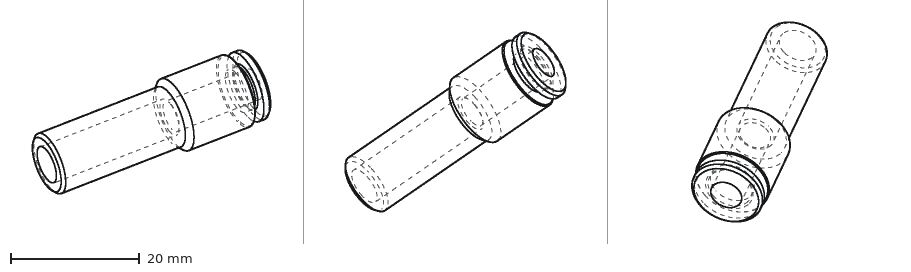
import cadquery as cq

total_length = 37.1
half_length = total_length / 2

body_diameter = 12.0
body_radius = body_diameter / 2
stem_radius = 5.0
collar_radius = 5.75
neck_radius = 3.55
stem_bore_radius = 3.0
collar_bore_radius = 2.52

stem_length = 21.95
body_length = 12.05
collar_thickness = 1.5
stem_bore_depth = stem_length

stem_chamfer = 0.52
shoulder_chamfer = body_radius - stem_radius
body_chamfer = 0.2
collar_chamfer = 0.5
neck_flare = 0.3
bore_taper_length = 0.3

stem_end = -half_length
body_start = stem_end + stem_length
body_end = body_start + body_length
collar_end = half_length
collar_start = collar_end - collar_thickness
taper_start = stem_end + stem_bore_depth

half_section = [
    (stem_bore_radius, stem_end),
    (stem_radius - stem_chamfer, stem_end),
    (stem_radius, stem_end + stem_chamfer),
    (stem_radius, body_start),
    (body_radius, body_start + shoulder_chamfer),
    (body_radius, body_end - body_chamfer),
    (body_radius - body_chamfer, body_end),
    (neck_radius, body_end),
    (neck_radius, collar_start - neck_flare),
    (neck_radius + neck_flare, collar_start),
    (collar_radius, collar_start),
    (collar_radius, collar_end - collar_chamfer),
    (collar_radius - collar_chamfer, collar_end),
    (collar_bore_radius, collar_end),
    (collar_bore_radius, taper_start + bore_taper_length),
    (stem_bore_radius, taper_start),
]

result = cq.Workplane("XY").polyline(half_section).close().revolve(360, (0, 0, 0), (0, 1, 0))